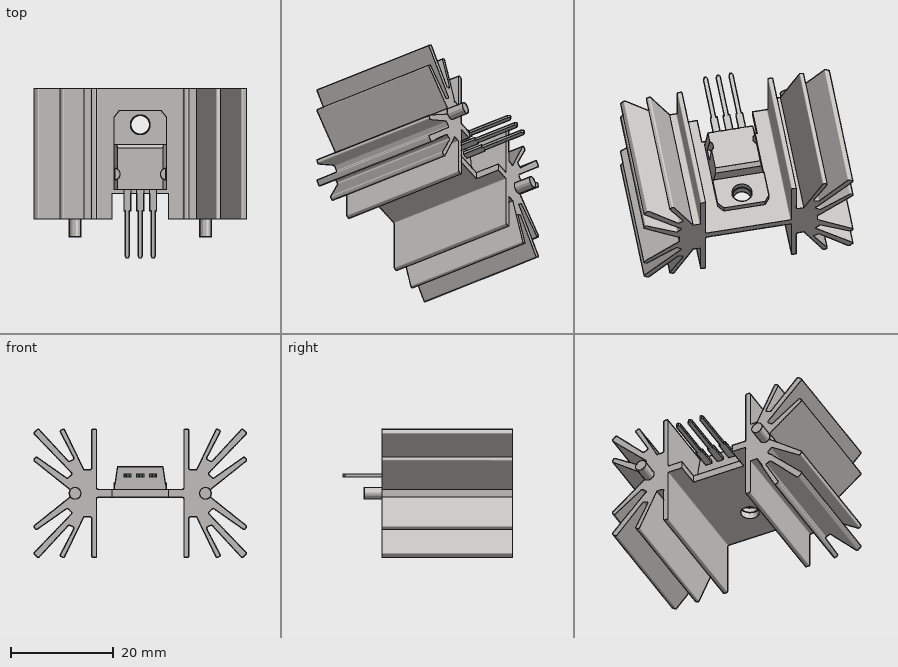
import cadquery as cq
import math


SINK_WIDTH = 41.4
SINK_HEIGHT = 25.0
SINK_LENGTH = 25.47
WEB_THICKNESS = 1.57
UPRIGHT_FIN_INNER_X = 8.5
UPRIGHT_FIN_THICKNESS = 1.0
CORNER_RADIUS = 0.3
CORNER_TRIM = (math.sqrt(2) - 1) * CORNER_RADIUS

STEEP_TIP = ((14.85, SINK_HEIGHT / 2 + CORNER_TRIM), (15.7, 12.18))
DIAGONAL_TIP = ((19.9, SINK_HEIGHT / 2 + CORNER_TRIM), (SINK_WIDTH / 2 + CORNER_TRIM, 11.72))
LOW_TIP = ((20.3, 7.15), (SINK_WIDTH / 2 + CORNER_TRIM, 6.4))

UPRIGHT_VALLEY_Z = 4.6
UPRIGHT_VALLEY_OUTER_X = 10.98
STEEP_VALLEY = ((12.85, 6.65), (13.9, 6.17))
DIAGONAL_VALLEY = ((13.2, 3.8), (14.2, 2.9))
SIDE_NOTCH_CORNER = (13.7, 0.75)

WEB_SLOT_WIDTH = 10.98
WEB_SLOT_DEPTH = 4.95
HOLE_Y = 18.4
WEB_HOLE_DIAMETER = 3.6
PIN_SPACING = 25.45
PIN_DIAMETER = 2.28
PIN_LENGTH = 3.48

TAB_WIDTH = 10.2
TAB_THICKNESS = 1.2
TAB_BACK_Y = 21.15
TAB_CORNER_CUT_X = 1.0
TAB_CORNER_CUT_Y = 1.3
TAB_HOLE_DIAMETER = 3.9

PACKAGE_FRONT_Y = 5.75
PACKAGE_BACK_Y = 14.6
PACKAGE_HEIGHT = 4.45
PACKAGE_SIDE_LEAN = 0.65
PACKAGE_BACK_CHAMFER = 0.75
GRIP_NOTCH_Y = 8.8
GRIP_NOTCH_DIAMETER = 2.3

LEAD_COUNT = 3
LEAD_PITCH = 2.53
LEAD_Z = 3.48
LEAD_THICKNESS = 0.62
LEAD_SHOULDER_WIDTH = 1.35
LEAD_SHOULDER_LENGTH = 4.15
LEAD_WIDTH = 0.83
LEAD_TIP_Y = -7.62
LEAD_TIP_WIDTH = 0.35
LEAD_TIP_LENGTH = 0.4

WEB_TOP = WEB_THICKNESS / 2


def prism_along_y(points, y_front, y_back):
    """Extrude an (x, z) outline from y_front back to y_back."""
    return cq.Workplane("XZ", origin=(0, y_front, 0)).polyline(points).close().extrude(y_front - y_back)


def upright_cylinder(x, y, z_bottom, diameter, height):
    return cq.Workplane("XY", origin=(x, y, z_bottom)).circle(diameter / 2).extrude(height)


def round_corners(body, corners):
    """Round the lengthwise edges that lie at the given (x, z) corners or their mirror images."""

    def is_listed(edge):
        centre = edge.Center()
        return any(math.hypot(abs(centre.x) - x, abs(centre.z) - z) < CORNER_RADIUS / 2 for x, z in corners)

    edges = [edge for edge in body.edges("|Y").vals() if is_listed(edge)]
    return body.newObject(edges).fillet(CORNER_RADIUS)


def make_finned_extrusion():
    """Web and fins: one quarter outline, mirrored to the other three quarters."""
    upright_fin_outer_x = UPRIGHT_FIN_INNER_X + UPRIGHT_FIN_THICKNESS
    upright_fin = [
        (UPRIGHT_FIN_INNER_X, WEB_TOP),
        (UPRIGHT_FIN_INNER_X, SINK_HEIGHT / 2),
        (upright_fin_outer_x, SINK_HEIGHT / 2),
        (upright_fin_outer_x, UPRIGHT_VALLEY_Z),
    ]
    valley_corner = (UPRIGHT_VALLEY_OUTER_X, UPRIGHT_VALLEY_Z)
    quarter = [
        *upright_fin,
        valley_corner,
        *STEEP_TIP,
        *STEEP_VALLEY,
        *DIAGONAL_TIP,
        *DIAGONAL_VALLEY,
        *LOW_TIP,
        SIDE_NOTCH_CORNER,
    ]
    right_half = quarter + [(x, -z) for x, z in reversed(quarter)]
    left_half = [(-x, z) for x, z in reversed(right_half)]
    body = prism_along_y(right_half + left_half, 0, SINK_LENGTH)
    sharp_corners = (valley_corner, SIDE_NOTCH_CORNER)
    return round_corners(body, [corner for corner in quarter if corner not in sharp_corners])


def make_heatsink():
    """Finned extrusion with a slot and a hole in its web and two mounting pins on its front end."""
    body = make_finned_extrusion()
    slot = cq.Workplane("XY").box(WEB_SLOT_WIDTH, 2 * WEB_SLOT_DEPTH, WEB_THICKNESS)
    hole = upright_cylinder(0, HOLE_Y, -WEB_TOP, WEB_HOLE_DIAMETER, WEB_THICKNESS)
    body = body.cut(slot).cut(hole)
    for side in (-1, 1):
        pin_base = cq.Workplane("XZ", origin=(side * PIN_SPACING / 2, 0, 0))
        body = body.union(pin_base.circle(PIN_DIAMETER / 2).extrude(PIN_LENGTH))
    return body


def make_tab():
    """Metal tab lying on the web behind the package, with cut back corners and a screw hole."""
    half_width = TAB_WIDTH / 2
    right_edge = [
        (half_width, PACKAGE_BACK_Y),
        (half_width, TAB_BACK_Y - TAB_CORNER_CUT_Y),
        (half_width - TAB_CORNER_CUT_X, TAB_BACK_Y),
    ]
    outline = right_edge + [(-x, y) for x, y in reversed(right_edge)]
    plate = cq.Workplane("XY", origin=(0, 0, WEB_TOP)).polyline(outline).close().extrude(TAB_THICKNESS)
    return plate.cut(upright_cylinder(0, HOLE_Y, WEB_TOP, TAB_HOLE_DIAMETER, TAB_THICKNESS))


def make_lead(x):
    """Flat lead with a wide shoulder at the package and a tapered tip."""
    shoulder_y = PACKAGE_FRONT_Y - LEAD_SHOULDER_LENGTH
    right_edge = [
        (LEAD_SHOULDER_WIDTH / 2, PACKAGE_FRONT_Y),
        (LEAD_SHOULDER_WIDTH / 2, shoulder_y),
        (LEAD_WIDTH / 2, shoulder_y),
        (LEAD_WIDTH / 2, LEAD_TIP_Y + LEAD_TIP_LENGTH),
        (LEAD_TIP_WIDTH / 2, LEAD_TIP_Y),
    ]
    outline = right_edge + [(-u, y) for u, y in reversed(right_edge)]
    lead_bottom = cq.Workplane("XY", origin=(x, 0, LEAD_Z - LEAD_THICKNESS / 2))
    return lead_bottom.polyline(outline).close().extrude(LEAD_THICKNESS)


def make_package():
    """Package with leaning sides, a chamfered top back edge, two grip notches down to tab level, and its leads."""
    foot = TAB_WIDTH / 2
    top = WEB_TOP + PACKAGE_HEIGHT
    crown = foot - PACKAGE_SIDE_LEAN
    section = [(-foot, WEB_TOP), (foot, WEB_TOP), (crown, top), (-crown, top)]
    body = prism_along_y(section, PACKAGE_FRONT_Y, PACKAGE_BACK_Y)
    body = body.faces(">Z").edges(">Y").chamfer(PACKAGE_BACK_CHAMFER)
    notch_floor = WEB_TOP + TAB_THICKNESS
    for side in (-1, 1):
        notch = upright_cylinder(side * foot, GRIP_NOTCH_Y, notch_floor, GRIP_NOTCH_DIAMETER, top - notch_floor)
        body = body.cut(notch)
    for index in range(LEAD_COUNT):
        body = body.union(make_lead((index - (LEAD_COUNT - 1) / 2) * LEAD_PITCH))
    return body


heatsink = make_heatsink()
tab = make_tab()
package = make_package()

result = cq.Compound.makeCompound([heatsink.val(), tab.val(), package.val()])